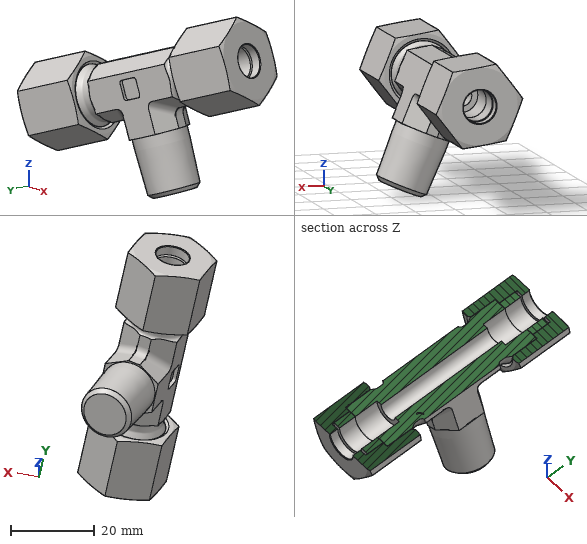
import cadquery as cq
import math

RUN_LENGTH = 64.0
HALF_RUN = RUN_LENGTH / 2
BRANCH_TILT = 22.5
HEX_HALF_SECTOR = 30

FORGING_ACROSS_FLATS = 14.0
FORGING_CUT_HEIGHT = 14.45
BRANCH_BLOCK_REACH = 12.0
ROOT_FILLET = 2.0
SELECTION_MARGIN = 0.05

RECESS_SIZE = 5.0
RECESS_DEPTH = 0.95
RECESS_CORNER = 0.8

SPIGOT_DIAMETER = 13.7
COLLAR_END = 15.0
TAPER_RATIO = 1 / 16
BRANCH_REACH = 27.0
BRANCH_CHAMFER = 1.0

THREAD_DIAMETER = 15.35
NECK_DIAMETER = 13.7
NECK_START = 13.0
NECK_FILLET = 0.95
NECK_END = 14.35
RELIEF_ANGLE = 30
RELIEF_FILLET = 0.8
STUB_END = 24.0

FLOW_DIAMETER = 5.0
TUBE_DIAMETER = 8.0
TUBE_STOP = 17.0

NUT_ACROSS_FLATS = 19.0
NUT_LENGTH = 16.45
NUT_CHAMFER_ANGLE = 15
NUT_TUBE_HOLE = 8.2
NUT_RIM_CHAMFER = 0.2
NUT_WALL = 2.5
NUT_MOUTH_CHAMFER = 0.65

RING_DIAMETER = 12.0
RING_CLEARANCE = 0.5

NUT_INNER_FACE = HALF_RUN - NUT_LENGTH
NUT_SEAT = HALF_RUN - NUT_WALL
RING_OUTER_FACE = NUT_SEAT - RING_CLEARANCE


def cylinder_along_y(diameter, start, end):
    """Cylinder on the run axis between two Y positions."""
    return cq.Workplane("XZ", origin=(0, start, 0)).circle(diameter / 2).extrude(start - end)


def hexagon_corner_diameter(across_flats):
    return across_flats / math.cos(math.radians(HEX_HALF_SECTOR))


def revolve_about_run(profile):
    """Revolve an outline drawn in the XY plane about the Y axis."""
    return profile.close().revolve(360, (0, 0, 0), (0, 1, 0))


def forging_hexagon(plane):
    """Outline with flats facing +X and -X and the two remaining corners cut flat."""
    hexagon = cq.Sketch().regularPolygon(hexagon_corner_diameter(FORGING_ACROSS_FLATS) / 2, 6)
    cut_band = cq.Sketch().rect(2 * FORGING_ACROSS_FLATS, FORGING_CUT_HEIGHT)
    return cq.Workplane(plane).placeSketch(hexagon * cut_band)


def run_envelope():
    """Round envelope of one half of the run: square shoulders and the fillet down to the neck."""
    corner_radius = hexagon_corner_diameter(FORGING_ACROSS_FLATS) / 2
    neck_radius = NECK_DIAMETER / 2
    shoulder = NECK_START - NECK_FILLET
    arc_inset = NECK_FILLET * (1 - math.cos(math.radians(45)))
    return revolve_about_run(
        cq.Workplane("XY")
        .lineTo(corner_radius, 0)
        .lineTo(corner_radius, shoulder)
        .lineTo(neck_radius + NECK_FILLET, shoulder)
        .threePointArc(
            (neck_radius + arc_inset, shoulder + arc_inset),
            (neck_radius, NECK_START),
        )
        .lineTo(0, NECK_START)
    )


def forging():
    """Run and branch block, blended where they meet."""
    half_envelope = run_envelope()
    envelope = half_envelope.union(half_envelope.mirror("XZ"))
    run = forging_hexagon("XZ").extrude(NECK_START, both=True).intersect(envelope)
    body = run.union(forging_hexagon("XY").extrude(-BRANCH_BLOCK_REACH))

    half_cut = FORGING_CUT_HEIGHT / 2
    half_side = FORGING_ACROSS_FLATS / 2 * math.tan(math.radians(HEX_HALF_SECTOR))
    for side in (-1, 1):
        root = cq.selectors.BoxSelector(
            (-FORGING_ACROSS_FLATS, side * (half_side - SELECTION_MARGIN), -half_side + SELECTION_MARGIN),
            (FORGING_ACROSS_FLATS, side * (half_cut + SELECTION_MARGIN), -half_cut - SELECTION_MARGIN),
        )
        body = body.edges(root).fillet(ROOT_FILLET)
    return body


def threaded_stub():
    """Neck, flared thread relief and thread of the +Y end of the run."""
    neck_radius = NECK_DIAMETER / 2
    thread_radius = THREAD_DIAMETER / 2
    angle = math.radians(RELIEF_ANGLE)

    def fillet_point(turn):
        along = NECK_END + RELIEF_FILLET * math.sin(turn)
        return neck_radius + RELIEF_FILLET * (1 - math.cos(turn)), along

    flare_radius, flare_start = fillet_point(angle)
    flare_end = flare_start + (thread_radius - flare_radius) / math.tan(angle)
    return revolve_about_run(
        cq.Workplane("XY")
        .lineTo(neck_radius, 0)
        .lineTo(neck_radius, NECK_END)
        .threePointArc(fillet_point(angle / 2), (flare_radius, flare_start))
        .lineTo(thread_radius, flare_end)
        .lineTo(thread_radius, STUB_END)
        .lineTo(0, STUB_END)
    )


def branch_spigot():
    """Plain collar followed by the tapered spigot with its end chamfer."""
    taper_end = BRANCH_REACH - BRANCH_CHAMFER
    spigot_radius = SPIGOT_DIAMETER / 2
    taper_end_radius = spigot_radius - (taper_end - COLLAR_END) * TAPER_RATIO / 2
    return (
        cq.Workplane("XZ")
        .lineTo(spigot_radius, 0)
        .lineTo(spigot_radius, -COLLAR_END)
        .lineTo(taper_end_radius, -taper_end)
        .lineTo(taper_end_radius - BRANCH_CHAMFER, -BRANCH_REACH)
        .lineTo(0, -BRANCH_REACH)
        .close()
        .revolve(360, (0, 0, 0), (0, 1, 0))
    )


def mark_recess():
    """Shallow rounded square sunk into the -X flat of the run."""
    return (
        cq.Workplane("YZ", origin=(-FORGING_ACROSS_FLATS / 2, 0, 0))
        .rect(RECESS_SIZE, RECESS_SIZE)
        .extrude(RECESS_DEPTH)
        .edges("|X")
        .fillet(RECESS_CORNER)
    )


def make_tee():
    stub = threaded_stub()
    tube_socket = cylinder_along_y(TUBE_DIAMETER, TUBE_STOP, STUB_END)
    tee = forging().union(branch_spigot()).union(stub).union(stub.mirror("XZ"))
    tee = tee.cut(mark_recess())
    tee = tee.cut(tube_socket).cut(tube_socket.mirror("XZ"))
    return tee.cut(cylinder_along_y(FLOW_DIAMETER, -STUB_END, STUB_END))


def make_nut():
    """Hexagon nut on the +Y end of the run."""
    corner_diameter = hexagon_corner_diameter(NUT_ACROSS_FLATS)
    face_radius = NUT_ACROSS_FLATS / 2
    corner_radius = corner_diameter / 2
    bevel = (corner_radius - face_radius) * math.tan(math.radians(NUT_CHAMFER_ANGLE))
    blank = (
        cq.Workplane("XZ", origin=(0, NUT_INNER_FACE, 0))
        .polygon(6, corner_diameter)
        .extrude(-NUT_LENGTH)
        .rotate((0, 0, 0), (0, 1, 0), HEX_HALF_SECTOR)
    )
    bevel_envelope = revolve_about_run(
        cq.Workplane("XY", origin=(0, NUT_INNER_FACE, 0))
        .lineTo(face_radius, 0)
        .lineTo(corner_radius, bevel)
        .lineTo(corner_radius, NUT_LENGTH - bevel)
        .lineTo(face_radius, NUT_LENGTH)
        .lineTo(0, NUT_LENGTH)
    )
    nut = blank.intersect(bevel_envelope)
    nut = nut.cut(cylinder_along_y(THREAD_DIAMETER, NUT_INNER_FACE, STUB_END))
    nut = nut.cut(cylinder_along_y(RING_DIAMETER, STUB_END, NUT_SEAT))
    nut = nut.cut(cylinder_along_y(NUT_TUBE_HOLE, NUT_SEAT, HALF_RUN))
    hole_edge = cq.selectors.RadiusNthSelector(0)
    nut = nut.faces(">Y").edges(hole_edge).chamfer(NUT_RIM_CHAMFER)
    return nut.faces("<Y").edges(hole_edge).chamfer(NUT_MOUTH_CHAMFER)


def make_cutting_ring():
    """Ring clamped between the +Y stub and its nut, with the tube passage through it."""
    ring = cylinder_along_y(RING_DIAMETER, STUB_END, RING_OUTER_FACE)
    return ring.cut(cylinder_along_y(TUBE_DIAMETER, STUB_END, RING_OUTER_FACE))


def tilt(body):
    return body.rotate((0, 0, 0), (0, 1, 0), -BRANCH_TILT)


tee = tilt(make_tee())

nuts = []
cutting_rings = []
for end_angle in (0, 180):
    nuts.append(tilt(make_nut().rotate((0, 0, 0), (0, 0, 1), end_angle)))
    cutting_rings.append(tilt(make_cutting_ring().rotate((0, 0, 0), (0, 0, 1), end_angle)))

result = cq.Compound.makeCompound(
    [tee.val()] + [nut.val() for nut in nuts] + [ring.val() for ring in cutting_rings]
)